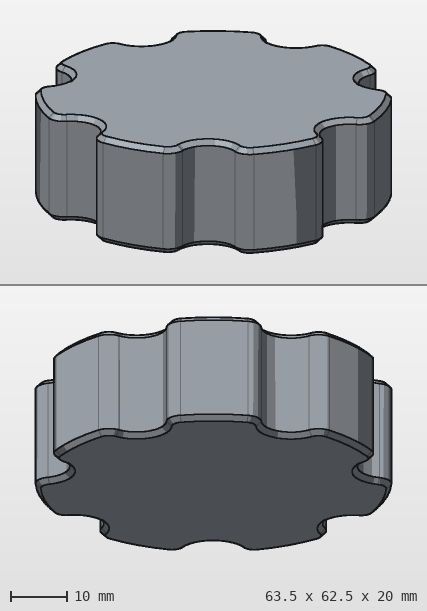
import cadquery as cq
import math

knob_diameter = 63.5
knob_height = 20.0
edge_chamfer = 0.95

grip_count = 7
grip_radius = 5.35
shoulder_radius = 3.0
first_grip_angle = -90.0

rim_radius = knob_diameter / 2
grip_pitch = 360 / grip_count


def polar(radius, angle):
    """Point at a distance from the knob axis, with the angle in degrees."""
    return (radius * math.cos(math.radians(angle)), radius * math.sin(math.radians(angle)))


def between(start, end, fraction):
    """Point at a fraction of the way from start to end."""
    return tuple(a + (b - a) * fraction for a, b in zip(start, end))


def outer_mid(start, end, center, radius):
    """Middle of the short arc from start to end about center."""
    dx = (start[0] + end[0]) / 2 - center[0]
    dy = (start[1] + end[1]) / 2 - center[1]
    length = math.hypot(dx, dy)
    return (center[0] + dx / length * radius, center[1] + dy / length * radius)


shoulder_distance = rim_radius - shoulder_radius
center_spacing = grip_radius + shoulder_radius
shoulder_angle = math.degrees(math.acos(
    (shoulder_distance**2 + rim_radius**2 - center_spacing**2) / (2 * shoulder_distance * rim_radius)
))


def add_grip(outline, angle):
    """Add one scallop, its two shoulders and the rim arc up to the next scallop."""
    grip_center = polar(rim_radius, angle)
    entry_center = polar(shoulder_distance, angle - shoulder_angle)
    exit_center = polar(shoulder_distance, angle + shoulder_angle)

    rim_end = polar(rim_radius, angle - shoulder_angle)
    grip_start = between(grip_center, entry_center, grip_radius / center_spacing)
    grip_bottom = polar(rim_radius - grip_radius, angle)
    grip_end = between(grip_center, exit_center, grip_radius / center_spacing)
    rim_start = polar(rim_radius, angle + shoulder_angle)
    rim_mid = polar(rim_radius, angle + grip_pitch / 2)
    next_rim_end = polar(rim_radius, angle + grip_pitch - shoulder_angle)

    return (
        outline
        .threePointArc(outer_mid(rim_end, grip_start, entry_center, shoulder_radius), grip_start)
        .threePointArc(grip_bottom, grip_end)
        .threePointArc(outer_mid(grip_end, rim_start, exit_center, shoulder_radius), rim_start)
        .threePointArc(rim_mid, next_rim_end)
    )


outline = cq.Workplane("XY").moveTo(*polar(rim_radius, first_grip_angle - shoulder_angle))
for grip in range(grip_count):
    outline = add_grip(outline, first_grip_angle + grip * grip_pitch)

body = outline.close().extrude(knob_height)
result = body.faces("<Z or >Z").edges().chamfer(edge_chamfer)